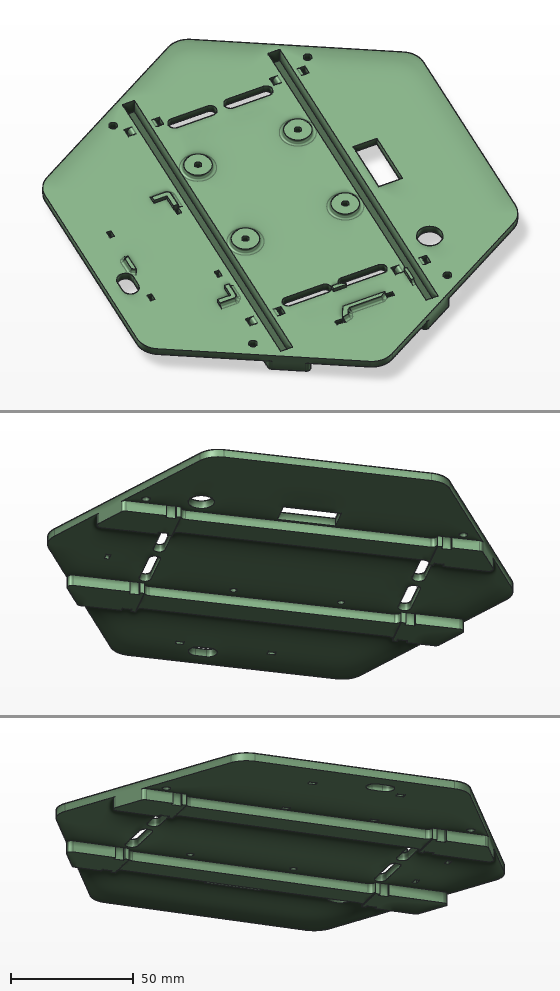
import cadquery as cq
import math

plate_across_flats = 170.5
plate_thickness = 3.5
plate_corner_radius = 10.0

raised_height = 1.7

boss_radius = 5.8
boss_hole_diameter = 3.0
boss_center_x = -8.1
boss_pitch_x = 45.0
boss_pitch_y = 45.0

rail_offset_y = 32.7
rail_side_inset = 2.3
rail_depth = 4.3
pad_width = 15.9
pad_depth = 4.8
pad_fillet = 2.0
groove_length = 150.0
groove_width = 5.5
groove_depth = 6.8

tie_positions_x = (-60.2, 54.8)
tie_width = 4.0
tie_end_wall = 2.0
tie_core_width = 12.8
tie_lip_radius = 2.0

corner_hole_diameter = 3.5
corner_hole_x = 66.3
corner_hole_y = 43.8
round_hole_diameter = 10.7
round_hole_center = (43.8, 46.5)
window_size = (24.2, 10.7)
window_center = (-1.7, 44.7)
slot_length = 21.5
slot_offset_y = 12.5
left_slot_x = -56.8
left_slot_width = 5.5
right_slot_x = 51.5
right_slot_width = 4.8
oval_size = (11.8, 7.2)
oval_center = (14.7, -75.5)
wire_hole_length = 3.3
wire_hole_width = 2.0
wire_holes_along_x = [(x, y) for x in (-12.8, 25.5) for y in (-40.1, -70.3)]
wire_holes_along_y = [(65.9, 18.0), (70.5, -6.8)]

guide_width = 2.1
hook_top_y = -39.1
hook_corner_cut = 1.2
hook_bottom_y = -47.0
left_hook_x = (-22.7, -14.1)
right_hook_x = (41.8, 33.9)

side_guide_flared_edge = [(64.9, 16.3), (66.6, 14.0), (66.6, -0.4), (67.6, -1.7), (69.5, -2.3), (70.3, -5.0)]
side_guide_plain_edge = [(69.5, -5.0), (66.6, -3.7), (64.9, -2.5)]

front_guide_outline = [(10.5, -69.7), (9.3, -71.5), (3.1, -71.5), (2.3, -69.7)]

slot_guide_x = (52.9, 54.6)
slot_guide_y = (-2.0, 3.9)

groove_guide_x = (56.8, 63.5)
groove_guide_y = (28.7, 30.2)

rail_width = pad_width - 2 * rail_side_inset
plate_corner_to_corner = plate_across_flats / math.cos(math.radians(30))
rail_sides = (1, -1)
boss_centers = [
    (boss_center_x + sx * boss_pitch_x / 2, sy * boss_pitch_y / 2) for sx in (-1, 1) for sy in (-1, 1)
]
pad_end_offset = tie_width / 2 + tie_end_wall


def hexagon_prism(bottom_z, height):
    return (
        cq.Workplane("XY", origin=(0, 0, bottom_z))
        .polygon(6, plate_corner_to_corner)
        .extrude(height)
    )


def box_between(x_range, y_range, z_range):
    starts, sizes = zip(*((start, end - start) for start, end in (x_range, y_range, z_range)))
    return cq.Workplane("XY").box(*sizes, centered=False).translate(starts)


def flare_profile(plane, wall_x):
    """Concave foot of a wall standing at local x = wall_x."""
    mid_offset = raised_height * (1 - math.sqrt(0.5))
    return (
        cq.Workplane(plane)
        .moveTo(wall_x, 0)
        .lineTo(wall_x + raised_height, 0)
        .threePointArc((wall_x + mid_offset, mid_offset), (wall_x, raised_height))
        .close()
    )


def boss(center):
    plane = cq.Plane(origin=(*center, 0), xDir=(1, 0, 0), normal=(0, -1, 0))
    flare = flare_profile(plane, boss_radius).revolve(360, (0, 0), (0, 1))
    return cq.Workplane("XY").center(*center).circle(boss_radius).extrude(raised_height).union(flare)


def flared_edge(points):
    """Flared foot on the left-hand side of a path, swept round its right-hand turns."""
    pieces = []
    previous_angle = None
    for (x0, y0), (x1, y1) in zip(points, points[1:]):
        dx, dy = x1 - x0, y1 - y0
        length = math.hypot(dx, dy)
        angle = math.atan2(dy, dx)
        run_plane = cq.Plane(origin=(x0, y0, 0), xDir=(-dy, dx, 0), normal=(dx, dy, 0))
        pieces.append(flare_profile(run_plane, 0).extrude(length))
        if previous_angle is not None:
            right_turn = math.degrees(previous_angle - angle) % 360
            if right_turn < 180:
                pieces.append(flare_profile(run_plane, 0).revolve(right_turn, (0, 0), (0, 1)))
        previous_angle = angle
    return pieces


def guide(outline, flared_points):
    body = cq.Workplane("XY").polyline(outline).close().extrude(raised_height)
    for piece in flared_edge(flared_points):
        body = body.union(piece)
    return body


def hook(corner_x, end_x):
    """L-shaped guide whose outer edges are flared round a cut corner."""
    inward = math.copysign(guide_width, end_x - corner_x)
    inner_y = hook_top_y - guide_width
    cut_x = corner_x + math.copysign(hook_corner_cut, inward)
    outer_edge = [
        (corner_x, hook_bottom_y),
        (corner_x, hook_top_y - hook_corner_cut),
        (cut_x, hook_top_y),
        (end_x, hook_top_y),
    ]
    inner_edge = [(end_x, inner_y), (corner_x + inward, inner_y), (corner_x + inward, hook_bottom_y)]
    flared_points = outer_edge if inward > 0 else outer_edge[::-1]
    return guide(outer_edge + inner_edge, flared_points)


def rectangle_guide(x_range, y_range, flared_side):
    left_edge = [(x_range[0], y_range[0]), (x_range[0], y_range[1])]
    right_edge = [(x_range[1], y_range[1]), (x_range[1], y_range[0])]
    return guide(left_edge + right_edge, left_edge if flared_side == "left" else right_edge)


def rail_body(side):
    """Rail and its two end pads below the plate; the outer pad ends follow the hexagon."""
    center_y = side * rail_offset_y
    pad_y = (center_y - pad_width / 2, center_y + pad_width / 2)
    rail_y = (center_y - rail_width / 2, center_y + rail_width / 2)
    left_end = tie_positions_x[0] + pad_end_offset
    right_end = tie_positions_x[1] - pad_end_offset
    far = plate_corner_to_corner / 2
    pad_z = (-plate_thickness - pad_depth, -plate_thickness)
    rail_z = (-plate_thickness - rail_depth, -plate_thickness)

    outline = hexagon_prism(pad_z[0], pad_depth)
    left_pad = box_between((-far, left_end), pad_y, pad_z).intersect(outline)
    left_pad = left_pad.edges("|Z").edges("not >X").fillet(pad_fillet)
    right_pad = box_between((right_end, far), pad_y, pad_z).intersect(outline)
    right_pad = right_pad.edges("|Z").edges("not <X").fillet(pad_fillet)
    rail = box_between((left_end - tie_end_wall, right_end + tie_end_wall), rail_y, rail_z)
    body = left_pad.union(right_pad).union(rail)

    for end_x, direction in ((left_end, 1), (right_end, -1)):
        for across in (1, -1):
            body = body.union(inside_corner(end_x, direction, center_y, across))
    return body


def inside_corner(end_x, direction, center_y, across):
    """Concave fillet between a pad end and the side of the rail."""
    wall_y = center_y + across * rail_width / 2
    mid_offset = rail_side_inset * (1 - math.sqrt(0.5))
    return (
        cq.Workplane("XY", origin=(0, 0, -plate_thickness - rail_depth))
        .moveTo(end_x, wall_y)
        .lineTo(end_x + direction * rail_side_inset, wall_y)
        .threePointArc(
            (end_x + direction * mid_offset, wall_y + across * mid_offset),
            (end_x, wall_y + across * rail_side_inset),
        )
        .close()
        .extrude(rail_depth)
    )


def groove(side):
    center_y = side * rail_offset_y
    return box_between(
        (-groove_length / 2, groove_length / 2),
        (center_y - groove_width / 2, center_y + groove_width / 2),
        (-groove_depth, raised_height),
    )


def tie_channel(x, side):
    center_y = side * rail_offset_y
    x_range = (x - tie_width / 2, x + tie_width / 2)
    z_range = (-plate_thickness - pad_depth, 0)
    slab = box_between(x_range, (center_y - pad_width / 2, center_y + pad_width / 2), z_range)
    core = box_between(x_range, (center_y - tie_core_width / 2, center_y + tie_core_width / 2), z_range)
    return slab.cut(core.edges("|X and >Z").fillet(tie_lip_radius))


def through_cutters():
    sketch = cq.Workplane("XY", origin=(0, 0, -plate_thickness))
    through = plate_thickness + raised_height
    corner_holes = [(sx * corner_hole_x, sy * corner_hole_y) for sx in (-1, 1) for sy in (-1, 1)]
    cutters = [
        sketch.pushPoints(corner_holes).circle(corner_hole_diameter / 2).extrude(through),
        sketch.pushPoints(boss_centers).circle(boss_hole_diameter / 2).extrude(through),
        sketch.center(*round_hole_center).circle(round_hole_diameter / 2).extrude(through),
        sketch.center(*window_center).rect(*window_size).extrude(through),
        sketch.center(*oval_center).slot2D(*oval_size).extrude(through),
        sketch.pushPoints(wire_holes_along_x).rect(wire_hole_length, wire_hole_width).extrude(through),
        sketch.pushPoints(wire_holes_along_y).rect(wire_hole_width, wire_hole_length).extrude(through),
    ]
    for x, width in ((left_slot_x, left_slot_width), (right_slot_x, right_slot_width)):
        centers = [(x, slot_offset_y), (x, -slot_offset_y)]
        cutters.append(sketch.pushPoints(centers).slot2D(slot_length, width, 90).extrude(through))
    return cutters


part = hexagon_prism(-plate_thickness, plate_thickness).edges("|Z").fillet(plate_corner_radius)
for side in rail_sides:
    part = part.union(rail_body(side))

for center in boss_centers:
    part = part.union(boss(center))

guides = [
    hook(*left_hook_x),
    hook(*right_hook_x),
    guide(side_guide_flared_edge + side_guide_plain_edge, side_guide_flared_edge),
    guide(front_guide_outline, front_guide_outline),
    rectangle_guide(slot_guide_x, slot_guide_y, flared_side="left"),
    rectangle_guide(groove_guide_x, groove_guide_y, flared_side="right"),
]
for piece in guides:
    part = part.union(piece)

for cutter in through_cutters():
    part = part.cut(cutter)
for side in rail_sides:
    part = part.cut(groove(side))
    for tie_x in tie_positions_x:
        part = part.cut(tie_channel(tie_x, side))

result = part